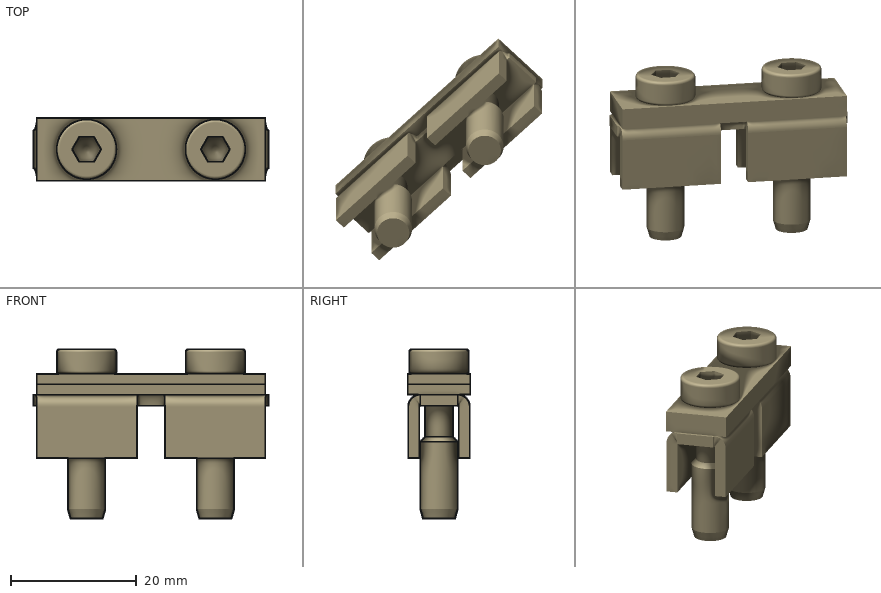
import cadquery as cq
import math

screw_pitch = 20.5
plate_length = 36.5
plate_width = 10.0
upper_plate_thickness = 1.7
lower_plate_thickness = 1.6

screw_length = 27
head_diameter = 9.52
head_height = 3.95
head_top_fillet = 0.5
head_seat_fillet = 0.4
neck_diameter = 4.5
shank_diameter = 6
shoulder_depth = 14.0
tip_length = 1.5
tip_diameter = 5.15
socket_across_flats = 4.0
socket_depth = 2.62
socket_point_angle = 120

web_length = 37.5
bracket_width = 9.82
sheet_thickness = 1.8
bend_inner_radius = 0.1
leg_gap = 4.4
bracket_height = 10.12
corner_sweep = 38

diagonal = math.sqrt(0.5)
screw_positions = [(-screw_pitch / 2, 0), (screw_pitch / 2, 0)]
web_top = -(upper_plate_thickness + lower_plate_thickness)
bend_outer_radius = bend_inner_radius + sheet_thickness
bend_y = bracket_width / 2 - bend_outer_radius
bend_z = web_top - bend_outer_radius
leg_length = (plate_length - leg_gap) / 2
corner_radius = (web_length - plate_length) / 2


def drill_screw_holes(body):
    """Cut both holes that the screw necks fill."""
    drills = (
        cq.Workplane("XY")
        .pushPoints(screw_positions)
        .circle(neck_diameter / 2)
        .extrude(-screw_length)
    )
    return body.cut(drills)


def make_plate(top, thickness):
    """Flat rectangular plate hanging below the height `top`."""
    plate = cq.Workplane("XY", origin=(0, 0, top)).rect(plate_length, plate_width).extrude(-thickness)
    return drill_screw_holes(plate)


def make_leg(start_x):
    """Leg on the +Y side: a quarter-round bend running into a flat wall."""
    wall_outer_y = bend_y + bend_outer_radius
    wall_inner_y = bend_y + bend_inner_radius
    leg_bottom = web_top - bracket_height
    return (
        cq.Workplane("YZ", origin=(start_x, 0, 0))
        .moveTo(bend_y, web_top)
        .threePointArc(
            (bend_y + bend_outer_radius * diagonal, bend_z + bend_outer_radius * diagonal),
            (wall_outer_y, bend_z),
        )
        .lineTo(wall_outer_y, leg_bottom)
        .lineTo(wall_inner_y, leg_bottom)
        .lineTo(wall_inner_y, bend_z)
        .threePointArc(
            (bend_y + bend_inner_radius * diagonal, bend_z + bend_inner_radius * diagonal),
            (bend_y, bend_z + bend_inner_radius),
        )
        .close()
        .extrude(leg_length)
    )


def corner_outline(height):
    """Concave corner at a height above the bend axis; it widens with the height."""
    reach = height * math.tan(math.radians(corner_sweep))
    ease = 1 - diagonal
    return (
        cq.Workplane("XY", origin=(0, bend_y, bend_z + height))
        .lineTo(corner_radius, 0)
        .spline(
            [(corner_radius * ease, reach * ease), (0, reach)],
            tangents=[(-1, 0), (0, 1)],
            includeCurrent=True,
        )
        .close()
        .val()
    )


def make_corner_fillet():
    """Fillet from the web edge to a leg end at X = 0, with rulings that meet the bend axis."""
    lowest = bend_inner_radius / 2
    wedge = cq.Solid.makeLoft([corner_outline(lowest), corner_outline(bend_outer_radius)], True)
    bend_ring = (
        cq.Workplane("YZ")
        .center(bend_y, bend_z)
        .circle(bend_outer_radius)
        .circle(bend_inner_radius)
        .extrude(corner_radius)
    )
    return bend_ring.intersect(cq.Workplane(wedge))


def make_bracket():
    """Web, one leg with its two corner fillets, then mirrored to all four quarters."""
    leg_start = leg_gap / 2
    fillet = make_corner_fillet()
    outer_fillet = fillet.translate((leg_start + leg_length, 0, 0))
    inner_fillet = fillet.mirror("YZ").translate((leg_start, 0, 0))
    quarter = make_leg(leg_start).union(outer_fillet).union(inner_fillet)
    half = quarter.union(quarter.mirror("XZ"))
    web = cq.Workplane("XY", origin=(0, 0, web_top)).rect(web_length, 2 * bend_y).extrude(-sheet_thickness)
    bracket = web.union(half).union(half.mirror("YZ"))
    return drill_screw_holes(bracket)


def make_socket():
    """Hexagonal socket with a conical floor, open at the head top."""
    sides = 6
    corner_to_corner = socket_across_flats / math.cos(math.pi / sides)
    point_radius = corner_to_corner / 2
    point_depth = point_radius / math.tan(math.radians(socket_point_angle / 2))
    hexagon = (
        cq.Workplane("XY", origin=(0, 0, head_height))
        .polygon(sides, corner_to_corner)
        .extrude(-socket_depth - point_depth)
    )
    drill = (
        cq.Workplane("XZ", origin=(0, 0, head_height))
        .lineTo(point_radius, 0)
        .lineTo(point_radius, -socket_depth)
        .lineTo(0, -socket_depth - point_depth)
        .close()
        .revolve(360, (0, 0), (0, 1))
    )
    return hexagon.intersect(drill)


def make_screw():
    """Turned screw on the Z axis with its head seated at Z = 0."""
    head_radius = head_diameter / 2
    neck_radius = neck_diameter / 2
    shank_radius = shank_diameter / 2
    neck_end = head_height - shoulder_depth
    shank_start = neck_end - (shank_radius - neck_radius)
    screw_end = head_height - screw_length
    blank = (
        cq.Workplane("XZ")
        .moveTo(0, head_height)
        .lineTo(head_radius - head_top_fillet, head_height)
        .radiusArc((head_radius, head_height - head_top_fillet), head_top_fillet)
        .lineTo(head_radius, head_seat_fillet)
        .radiusArc((head_radius - head_seat_fillet, 0), head_seat_fillet)
        .lineTo(neck_radius, 0)
        .lineTo(neck_radius, neck_end)
        .lineTo(shank_radius, shank_start)
        .lineTo(shank_radius, screw_end + tip_length)
        .lineTo(tip_diameter / 2, screw_end)
        .lineTo(0, screw_end)
        .close()
        .revolve(360, (0, 0), (0, 1))
    )
    return blank.cut(make_socket())


upper_plate = make_plate(0, upper_plate_thickness)
lower_plate = make_plate(-upper_plate_thickness, lower_plate_thickness)
bracket = make_bracket()
screws = [make_screw().translate((x, y, 0)) for x, y in screw_positions]

result = cq.Compound.makeCompound(
    [upper_plate.val(), lower_plate.val(), bracket.val(), *[screw.val() for screw in screws]]
)